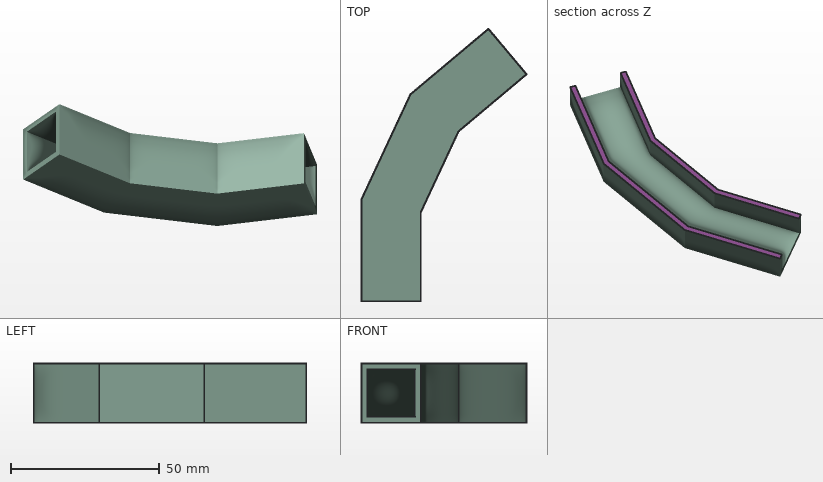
import cadquery as cq
import math

overall_length = 91.8
tube_size = 20.0
wall = 2.0
bend_angle = 25.0

first_run = 32.1
middle_run = 34.6

middle_heading = math.radians(bend_angle)
last_heading = 2 * middle_heading
last_centre_y = overall_length - tube_size / 2 * math.sin(last_heading)
last_bend_y = first_run + middle_run * math.cos(middle_heading)
last_run = (last_centre_y - last_bend_y) / math.cos(last_heading)

run_lengths = [first_run, middle_run, last_run]


def side_points(offset):
    """Corners of the centreline shifted sideways, positive offset toward the inside of the bends."""
    miter_shift = offset * math.tan(math.radians(bend_angle / 2))
    last_index = len(run_lengths) - 1
    x, y = offset, 0.0
    points = [(x, y)]
    for index, run_length in enumerate(run_lengths):
        heading = math.radians(index * bend_angle)
        mitred_ends = 1 if index in (0, last_index) else 2
        side_length = run_length - mitred_ends * miter_shift
        x += side_length * math.sin(heading)
        y += side_length * math.cos(heading)
        points.append((x, y))
    return points


def bent_bar(size):
    """Solid bar of square section following the bent centreline."""
    outline = side_points(-size / 2) + side_points(size / 2)[::-1]
    return cq.Workplane("XY").polyline(outline).close().extrude(size / 2, both=True)


outer_bar = bent_bar(tube_size)
bore = bent_bar(tube_size - 2 * wall)

result = outer_bar.cut(bore)